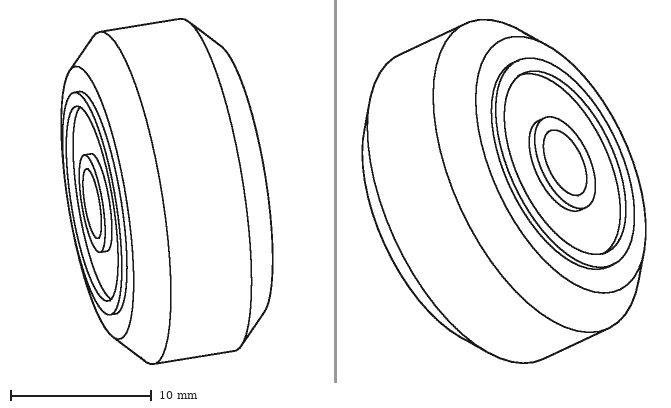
import cadquery as cq

wheel_diameter = 23.9
bearing_width = 11.0
tread_width = 10.23
bevel = 2.15

bearing_diameter = 16.0
outer_ring_bore = 14.0
inner_ring_diameter = 7.0
shaft_bore = 5.0
shield_recess = 0.5


def cylinder(diameter, width, start):
    """Cylinder along Y that begins at Y = start and extends toward +Y."""
    return cq.Workplane("XZ", origin=(0, start, 0)).circle(diameter / 2).extrude(-width)


def centred_cylinder(diameter, width):
    return cylinder(diameter, width, -width / 2)


def make_tire():
    """Tread with bevelled edges and a plain seat for the bearing."""
    blank = centred_cylinder(wheel_diameter, tread_width).faces("<Y or >Y").edges().chamfer(bevel)
    return blank.cut(centred_cylinder(bearing_diameter, tread_width))


def make_bearing():
    """Bearing whose shields are sunk between its two rings on both faces."""
    bearing = centred_cylinder(bearing_diameter, bearing_width)
    bearing = bearing.cut(centred_cylinder(shaft_bore, bearing_width))
    for start in (-bearing_width / 2, bearing_width / 2 - shield_recess):
        groove = cylinder(outer_ring_bore, shield_recess, start)
        groove = groove.cut(cylinder(inner_ring_diameter, shield_recess, start))
        bearing = bearing.cut(groove)
    return bearing


tire = make_tire()
bearing = make_bearing()
result = cq.Compound.makeCompound([tire.val(), bearing.val()])